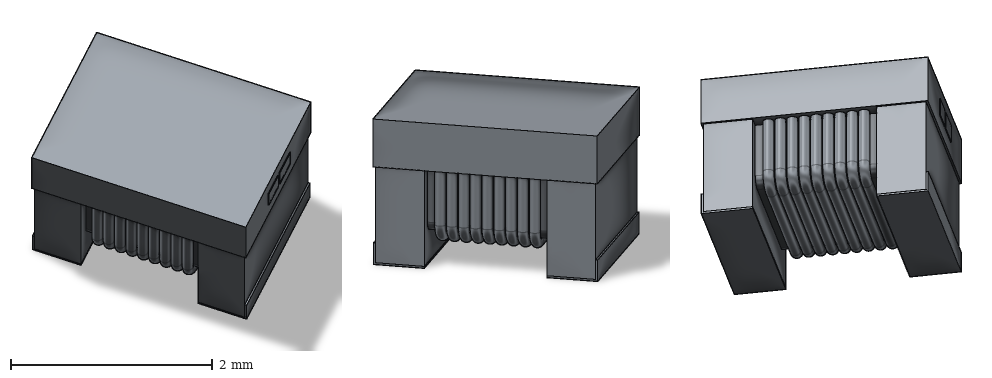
import cadquery as cq

OVERALL_LENGTH = 2.31
OVERALL_HEIGHT = 1.52
MARK_THICKNESS = 0.01
LID_LENGTH = OVERALL_LENGTH - MARK_THICKNESS
LID_WIDTH = 1.7
LID_HEIGHT = 0.5
LID_OVERHANG = 0.02
LID_BOTTOM = OVERALL_HEIGHT - LID_HEIGHT

PLATING = 0.02
TERMINAL_HEIGHT = 0.225

CORE_LENGTH = LID_LENGTH - 2 * PLATING
CORE_WIDTH = LID_WIDTH - 2 * LID_OVERHANG
FLANGE_LENGTH = 0.501
FLANGE_HEIGHT = LID_BOTTOM - PLATING
FLANGE_CENTER = (CORE_LENGTH - FLANGE_LENGTH) / 2
BARREL_LENGTH = CORE_LENGTH - 2 * FLANGE_LENGTH
BARREL_SETBACK = 0.127
BARREL_WIDTH = CORE_WIDTH - 2 * BARREL_SETBACK
BARREL_BOTTOM = 0.342
BARREL_HEIGHT = LID_BOTTOM - BARREL_BOTTOM
BARREL_RADIUS = 0.102

TURN_COUNT = 9
WINDING_LENGTH = 0.97
TURN_PITCH = WINDING_LENGTH / (TURN_COUNT - 1)
WIRE_DIAMETER = 0.11
WIRE_SINK = 0.01
WIRE_OFFSET = WIRE_DIAMETER / 2 - WIRE_SINK

MARK_HEIGHT = 0.182
MARK_BOTTOM = 1.185
MARK_SPANS = [(-0.265, -0.02), (0.018, 0.298)]


def make_block(length, width, height, x=0.0, y=0.0, bottom=0.0):
    """Box centred on (x, y) and standing on z = bottom."""
    block = cq.Workplane("XY").box(length, width, height, centered=(True, True, False))
    return block.translate((x, y, bottom))


def make_lid():
    return make_block(LID_LENGTH, LID_WIDTH, LID_HEIGHT, bottom=LID_BOTTOM)


def make_turn(x):
    """Round wire led down one side of the barrel, under it and up the other side."""
    half_width = BARREL_WIDTH / 2 + WIRE_OFFSET
    bottom = BARREL_BOTTOM - WIRE_OFFSET
    bend = BARREL_RADIUS + WIRE_OFFSET
    path = (
        cq.Workplane("YZ", origin=(x, 0, 0))
        .moveTo(-half_width, LID_BOTTOM)
        .lineTo(-half_width, bottom + bend)
        .radiusArc((-half_width + bend, bottom), -bend)
        .lineTo(half_width - bend, bottom)
        .radiusArc((half_width, bottom + bend), -bend)
        .lineTo(half_width, LID_BOTTOM)
    )
    section = cq.Workplane("XY", origin=(x, -half_width, LID_BOTTOM)).circle(WIRE_DIAMETER / 2)
    return section.sweep(path)


def make_wound_core():
    """Flanges, barrel and winding turns, all in one piece."""
    core = make_block(BARREL_LENGTH, BARREL_WIDTH, BARREL_HEIGHT, bottom=BARREL_BOTTOM)
    core = core.faces("<Z").edges("|X").fillet(BARREL_RADIUS)
    for side in (-1, 1):
        flange_x = side * FLANGE_CENTER
        core = core.union(make_block(FLANGE_LENGTH, CORE_WIDTH, FLANGE_HEIGHT, flange_x, bottom=PLATING))
    for index in range(TURN_COUNT):
        core = core.union(make_turn(index * TURN_PITCH - WINDING_LENGTH / 2))
    return core


def make_terminal(side):
    """Plating under one flange and up its outer end; side is -1 or 1 along X."""
    length = FLANGE_LENGTH + PLATING
    center = side * (LID_LENGTH - length) / 2
    terminal = make_block(length, CORE_WIDTH, TERMINAL_HEIGHT, center)
    flange_x = side * FLANGE_CENTER
    flange_space = make_block(FLANGE_LENGTH, CORE_WIDTH, TERMINAL_HEIGHT, flange_x, bottom=PLATING)
    return terminal.cut(flange_space)


def make_mark(y_start, y_end):
    """Thin raised pad on the +X end of the lid."""
    x = (LID_LENGTH + MARK_THICKNESS) / 2
    y = (y_start + y_end) / 2
    return make_block(MARK_THICKNESS, y_end - y_start, MARK_HEIGHT, x, y, MARK_BOTTOM)


lid = make_lid()
wound_core = make_wound_core()
terminals = [make_terminal(side) for side in (-1, 1)]
marks = [make_mark(y_start, y_end) for y_start, y_end in MARK_SPANS]

result = cq.Compound.makeCompound(
    [
        lid.val(),
        *wound_core.vals(),
        *[terminal.val() for terminal in terminals],
        *[mark.val() for mark in marks],
    ]
)